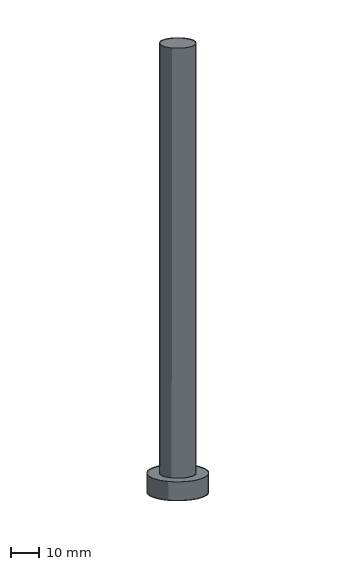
import cadquery as cq

total_length = 167.0
head_diameter = 22.0
head_height = 7.0
shaft_diameter = 13.0
shaft_length = total_length - head_height

head = cq.Workplane("XY").circle(head_diameter / 2).extrude(head_height)
shaft = (
    cq.Workplane("XY")
    .workplane(offset=head_height)
    .circle(shaft_diameter / 2)
    .extrude(shaft_length)
)

result = head.union(shaft)